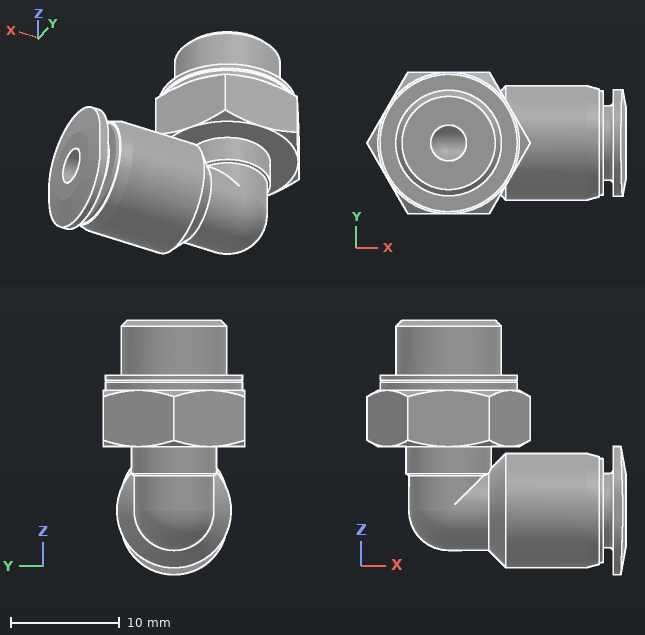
import cadquery as cq
import math


hex_flats = 13.0
hex_corner_radius = hex_flats / math.sqrt(3)
hex_bottom = 5.88
hex_top = 11.05
hex_chamfer_angle = 30
stud_radius = 4.85
stud_chamfer = 0.57
collar_radius = 6.3
collar_top = 12.45
groove_top = 11.98
groove_bottom = 11.8
groove_depth = 0.1

elbow_radius = 3.67
neck_radius = 3.93
neck_bottom = 3.4
neck_chamfer = 0.2
bore_radius = 1.65

socket_radius = 5.26
shoulder_length = socket_radius - elbow_radius
shoulder_start = 3.67
taper_start = 12.7
taper_end = 13.83
taper_end_radius = 4.95
lip_radius = 4.8
lip_round = 0.17
socket_end = 14.21

overall_length = 23.8
overall_height = 23.4
outlet = overall_length - hex_corner_radius
ring_neck_radius = 3.43
ring_fillet = 0.33
flange_start = 15.12
flange_end_radius = 4.9
flange_offset = 1.0
flange_reach = flange_end_radius + flange_offset
face_radius = 3.29
face_cone_length = 0.48
stud_top = overall_height - flange_reach


def turned_stud():
    """Stud, grooved collar and neck, revolved about Z."""
    groove_radius = collar_radius - groove_depth
    profile = (
        cq.Workplane("XZ")
        .moveTo(0, 0)
        .lineTo(elbow_radius, 0)
        .lineTo(elbow_radius, neck_bottom - neck_chamfer)
        .lineTo(neck_radius, neck_bottom)
        .lineTo(neck_radius, hex_bottom)
        .lineTo(collar_radius, hex_bottom)
        .lineTo(collar_radius, groove_bottom)
        .lineTo(groove_radius, groove_bottom)
        .lineTo(groove_radius, groove_top)
        .lineTo(collar_radius, groove_top)
        .lineTo(collar_radius, collar_top)
        .lineTo(stud_radius, collar_top)
        .lineTo(stud_radius, stud_top - stud_chamfer)
        .lineTo(stud_radius - stud_chamfer, stud_top)
        .lineTo(0, stud_top)
        .close()
    )
    return profile.revolve(360, (0, 0, 0), (0, 1, 0))


def hexagon():
    """Hexagon with corners on X, its corners cut by a cone at both ends."""
    flat_radius = hex_flats / 2
    corner_drop = (hex_corner_radius - flat_radius) * math.tan(math.radians(hex_chamfer_angle))
    prism = (
        cq.Workplane("XY")
        .workplane(offset=hex_bottom)
        .polygon(6, 2 * hex_corner_radius)
        .extrude(hex_top - hex_bottom)
    )
    envelope = (
        cq.Workplane("XZ")
        .moveTo(0, hex_bottom)
        .lineTo(flat_radius, hex_bottom)
        .lineTo(hex_corner_radius, hex_bottom + corner_drop)
        .lineTo(hex_corner_radius, hex_top - corner_drop)
        .lineTo(flat_radius, hex_top)
        .lineTo(0, hex_top)
        .close()
        .revolve(360, (0, 0, 0), (0, 1, 0))
    )
    return prism.intersect(envelope)


def turned_socket():
    """Elbow arm, tube socket and release ring neck, revolved about X."""
    profile = (
        cq.Workplane("XZ")
        .moveTo(0, 0)
        .lineTo(0, elbow_radius)
        .lineTo(shoulder_start, elbow_radius)
        .lineTo(shoulder_start + shoulder_length, socket_radius)
        .lineTo(taper_start, socket_radius)
        .lineTo(taper_end, taper_end_radius)
        .lineTo(taper_end, lip_radius)
        .lineTo(socket_end - lip_round, lip_radius)
        .radiusArc((socket_end, lip_radius - lip_round), lip_round)
        .lineTo(socket_end, ring_neck_radius)
        .lineTo(flange_start - ring_fillet, ring_neck_radius)
        .radiusArc((flange_start, ring_neck_radius + ring_fillet), -ring_fillet)
        .lineTo(flange_start, 0)
        .close()
    )
    return profile.revolve(360, (0, 0, 0), (1, 0, 0))


def ring_flange():
    """Oblong flange, taller along Z, with a conical outer face."""
    oblong = (
        cq.Workplane("YZ")
        .workplane(offset=flange_start)
        .slot2D(2 * flange_reach, 2 * flange_end_radius, 90)
        .extrude(outlet - flange_start)
    )
    envelope = (
        cq.Workplane("XZ")
        .moveTo(flange_start, 0)
        .lineTo(flange_start, flange_reach)
        .lineTo(outlet - face_cone_length, flange_reach)
        .lineTo(outlet, face_radius)
        .lineTo(outlet, 0)
        .close()
        .revolve(360, (0, 0, 0), (1, 0, 0))
    )
    return oblong.intersect(envelope)


def passage():
    """Bore from the stud top, round the corner and out of the release ring."""
    down = cq.Workplane("XY").circle(bore_radius).extrude(stud_top)
    along = cq.Workplane("YZ").circle(bore_radius).extrude(outlet)
    return down.union(along).union(cq.Workplane("XY").sphere(bore_radius))


corner = cq.Workplane("XY").sphere(elbow_radius)
body = turned_stud().union(hexagon()).union(turned_socket()).union(ring_flange()).union(corner)
result = body.cut(passage())